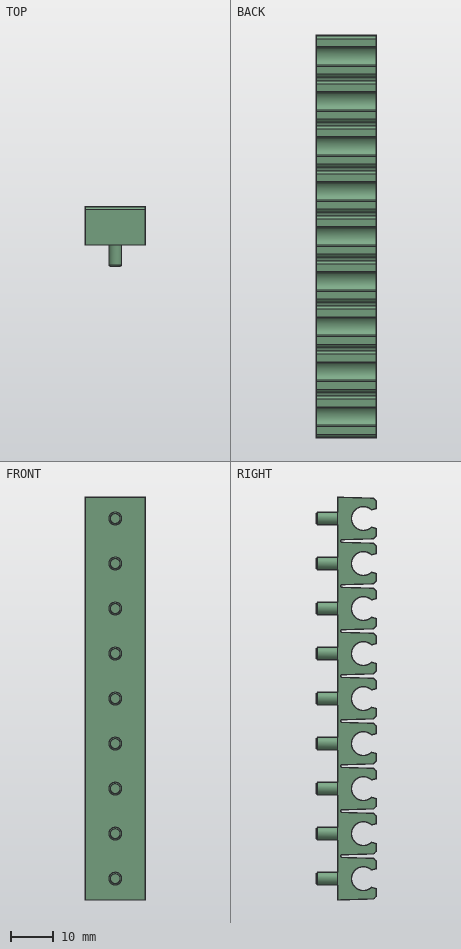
import cadquery as cq
import math

CLIP_COUNT = 9
CLIP_PITCH = 10.5
CLIP_HEIGHT = 10.0
STRIP_WIDTH = 14.0
STRIP_DEPTH = 9.0
PIN_LENGTH = 5.0
PIN_DIAMETER = 3.0
PIN_CHAMFER = 0.35

BORE_DIAMETER = 5.5
BORE_SETBACK = 3.0
THROAT_WIDTH = 4.0
MOUTH_WIDTH = 4.6

FLOOR_THICKNESS = 0.75
SLIT_ROOT_FILLET = 0.2
TAPER_ANGLE = 1.5
CORNER_CHAMFER = 0.65

BASE_Y = -(STRIP_DEPTH - PIN_LENGTH) / 2
MOUTH_Y = BASE_Y + STRIP_DEPTH
BORE_Y = MOUTH_Y - BORE_SETBACK
FLOOR_Y = BASE_Y + FLOOR_THICKNESS
SIDE_TAPER = STRIP_DEPTH * math.tan(math.radians(TAPER_ANGLE))
CLIP_SPAN = (CLIP_COUNT - 1) * CLIP_PITCH
FIRST_CLIP_Z = -CLIP_SPAN / 2
CLIP_CENTRES = [FIRST_CLIP_Z + i * CLIP_PITCH for i in range(CLIP_COUNT)]
SLIT_CENTRES = [z + CLIP_PITCH / 2 for z in CLIP_CENTRES[:-1]]


def extrude_across(profile):
    """Extrude a closed YZ profile symmetrically over the strip width."""
    return profile.extrude(STRIP_WIDTH / 2, both=True)


def floor_plate():
    """Thin plate that closes the slits at the base and joins all clips."""
    profile = cq.Workplane("YZ").center((BASE_Y + FLOOR_Y) / 2, 0).rect(FLOOR_THICKNESS, CLIP_SPAN)
    return extrude_across(profile)


def clip(centre_z):
    """One tapered clip with an open round seat, centred at the given height."""
    base_half = CLIP_HEIGHT / 2
    tip_half = base_half - SIDE_TAPER
    throat_half = THROAT_WIDTH / 2
    mouth_half = MOUTH_WIDTH / 2
    bore_radius = BORE_DIAMETER / 2
    throat_y = BORE_Y + math.sqrt(bore_radius**2 - throat_half**2)
    profile = (
        cq.Workplane("YZ", origin=(0, 0, centre_z))
        .moveTo(BASE_Y, -base_half)
        .lineTo(MOUTH_Y - CORNER_CHAMFER, -tip_half)
        .lineTo(MOUTH_Y, -tip_half + CORNER_CHAMFER)
        .lineTo(MOUTH_Y, -mouth_half)
        .lineTo(throat_y, -throat_half)
        .threePointArc((BORE_Y - bore_radius, 0), (throat_y, throat_half))
        .lineTo(MOUTH_Y, mouth_half)
        .lineTo(MOUTH_Y, tip_half - CORNER_CHAMFER)
        .lineTo(MOUTH_Y - CORNER_CHAMFER, tip_half)
        .lineTo(BASE_Y, base_half)
        .close()
    )
    return extrude_across(profile)


def pin(centre_z):
    """Round mounting pin on the base face, chamfered at its free end."""
    return (
        cq.Workplane("XZ", origin=(0, FLOOR_Y, centre_z))
        .circle(PIN_DIAMETER / 2)
        .extrude(FLOOR_THICKNESS + PIN_LENGTH)
        .faces("<Y")
        .chamfer(PIN_CHAMFER)
    )


def round_slit_root(body, slit_z):
    """Fillet the two long edges at the closed end of one slit."""
    selection_margin = 0.05
    slit_width = CLIP_PITCH - CLIP_HEIGHT
    root = cq.selectors.BoxSelector(
        (-STRIP_WIDTH, FLOOR_Y - selection_margin, slit_z - slit_width),
        (STRIP_WIDTH, FLOOR_Y + selection_margin, slit_z + slit_width),
    )
    return body.edges("|X").edges(root).fillet(SLIT_ROOT_FILLET)


result = floor_plate()
for clip_z in CLIP_CENTRES:
    result = result.union(clip(clip_z)).union(pin(clip_z))

for root_z in SLIT_CENTRES:
    result = round_slit_root(result, root_z)